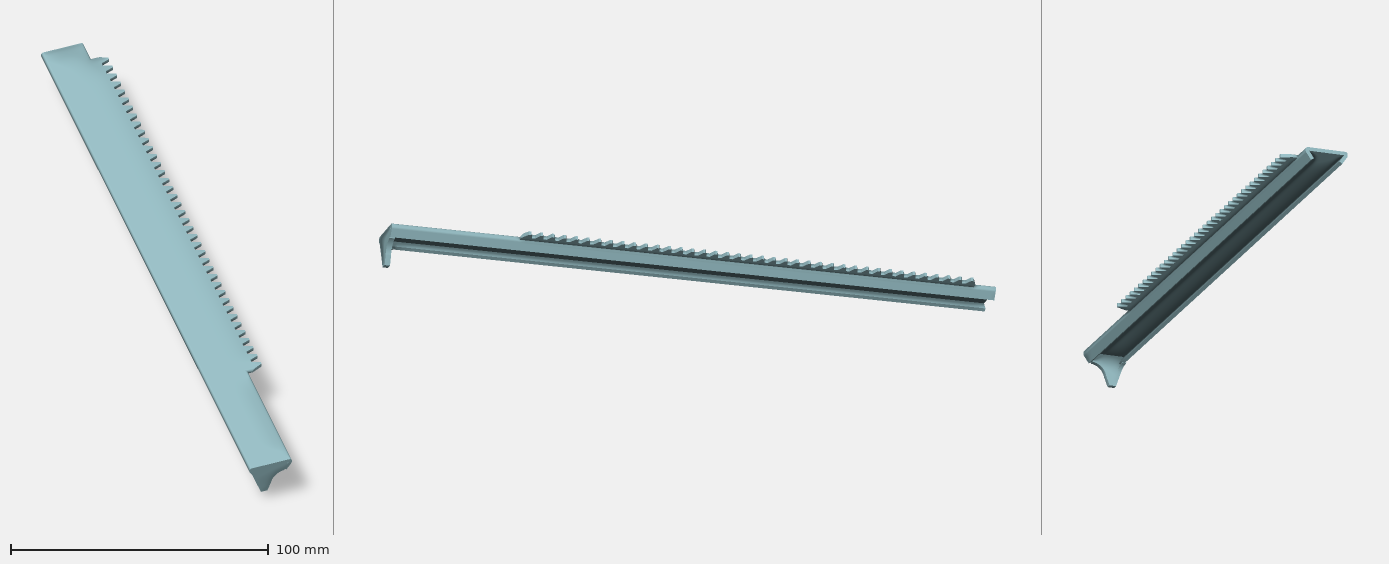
import cadquery as cq
import math

length = 244.5

body_width = 17.4
plate_thickness = 1.5
edge_radius = 1.0
side_flat_bottom = -1.6
leg_bend_radius = 1.2
leg_angle = math.radians(55)
leg_thickness = 1.5
leg_depth = 5.1

tooth_count = 39
tooth_depth = 3.5
tooth_tip_width = 0.85
pressure_angle = math.radians(20)
rack_tip = 23.7
first_tooth_x = 11.5
last_tooth_x = 190.5
tooth_pitch = (last_tooth_x - first_tooth_x) / (tooth_count - 1)
rack_end_depth = 4.5
rack_end_margin = 2.5

tab_thickness = 2.2
tab_depth = 14.0
tab_tip_front = 4.6
tab_tip_back = 7.3
tab_root_inset = 1.5
tab_shoulder_front = 1.2
tab_shoulder_depth = 4.2
tab_shoulder_back = 14.2
tab_flare_mid = (10.5, -6.8)
tab_flare_end = (8.8, -10.0)
gusset_radius = 2.7
gusset_thickness = 1.5
gusset_overlap = 0.5


def arc_point(center, radius, angle):
    return (center[0] + radius * math.cos(angle), center[1] + radius * math.sin(angle))


def make_body():
    edge_center = (edge_radius, -edge_radius)
    bend_center = (leg_bend_radius, side_flat_bottom)
    bend_angle = math.pi / 2 - leg_angle
    bend_end = arc_point(bend_center, leg_bend_radius, math.pi + bend_angle)
    leg_tip = (bend_end[0] + (leg_depth + bend_end[1]) / math.tan(leg_angle), -leg_depth)
    inner_tip = arc_point(leg_tip, leg_thickness, bend_angle)
    inner_top_y = inner_tip[0] - (-plate_thickness - inner_tip[1]) / math.tan(leg_angle)
    half = (
        cq.Workplane("YZ")
        .moveTo(edge_radius, 0)
        .threePointArc(arc_point(edge_center, edge_radius, math.radians(135)), (0, -edge_radius))
        .lineTo(0, side_flat_bottom)
        .threePointArc(arc_point(bend_center, leg_bend_radius, math.pi + bend_angle / 2), bend_end)
        .lineTo(*leg_tip)
        .lineTo(*inner_tip)
        .lineTo(inner_top_y, -plate_thickness)
        .lineTo(body_width / 2, -plate_thickness)
        .lineTo(body_width / 2, 0)
        .close()
        .extrude(length)
    )
    return half.union(half.mirror("XZ", (0, body_width / 2, 0)))


def tooth_half_width(depth):
    return tooth_tip_width / 2 + depth * math.tan(pressure_angle)


def make_rack():
    root = rack_tip - tooth_depth
    end_shoulder = rack_tip - rack_end_depth
    inner = body_width - 2 * edge_radius
    half_tip = tooth_half_width(0)
    half_root = tooth_half_width(tooth_depth)
    start_x = first_tooth_x - rack_end_margin
    end_x = last_tooth_x + rack_end_margin

    outline = [(start_x, inner), (start_x, end_shoulder)]
    for i in range(tooth_count):
        x = first_tooth_x + i * tooth_pitch
        if i > 0:
            outline.append((x - half_root, root))
        outline.append((x - half_tip, rack_tip))
        outline.append((x + half_tip, rack_tip))
        if i < tooth_count - 1:
            outline.append((x + half_root, root))
    outline += [(end_x, end_shoulder), (end_x, inner)]
    rack = cq.Workplane("XY").polyline(outline).close().extrude(-plate_thickness)
    return rack.faces(">Z").edges("|Y").fillet(edge_radius)


def make_tab():
    top_z = -plate_thickness / 2
    return (
        cq.Workplane("YZ", origin=(length - tab_thickness, 0, 0))
        .moveTo(tab_tip_front, -tab_depth)
        .lineTo(tab_shoulder_front, -tab_shoulder_depth)
        .lineTo(tab_root_inset, top_z)
        .lineTo(body_width - tab_root_inset, top_z)
        .lineTo(tab_shoulder_back, -leg_depth)
        .threePointArc(tab_flare_mid, tab_flare_end)
        .lineTo(tab_tip_back, -tab_depth)
        .close()
        .extrude(tab_thickness)
    )


def make_gusset():
    tab_face_x = length - tab_thickness
    arc_start = (tab_face_x, -leg_depth - gusset_radius)
    arc_center = (tab_face_x - gusset_radius, arc_start[1])
    arc_end = (arc_center[0], -leg_depth)
    corner_z = gusset_overlap - leg_depth
    corner = (
        cq.Workplane("XZ")
        .moveTo(*arc_start)
        .threePointArc(arc_point(arc_center, gusset_radius, math.pi / 4), arc_end)
        .lineTo(arc_end[0], corner_z)
        .lineTo(length, corner_z)
        .lineTo(length, arc_start[1])
        .close()
        .extrude(-body_width)
    )
    wall = (
        cq.Workplane("YZ", origin=(arc_center[0], 0, 0))
        .polyline(
            [
                (tab_shoulder_front, -tab_shoulder_depth),
                (tab_shoulder_front + gusset_thickness, -tab_shoulder_depth),
                (tab_tip_front + gusset_thickness, -tab_depth),
                (tab_tip_front, -tab_depth),
            ]
        )
        .close()
        .extrude(length - arc_center[0])
    )
    return corner.intersect(wall)


result = make_body().union(make_rack()).union(make_tab()).union(make_gusset())